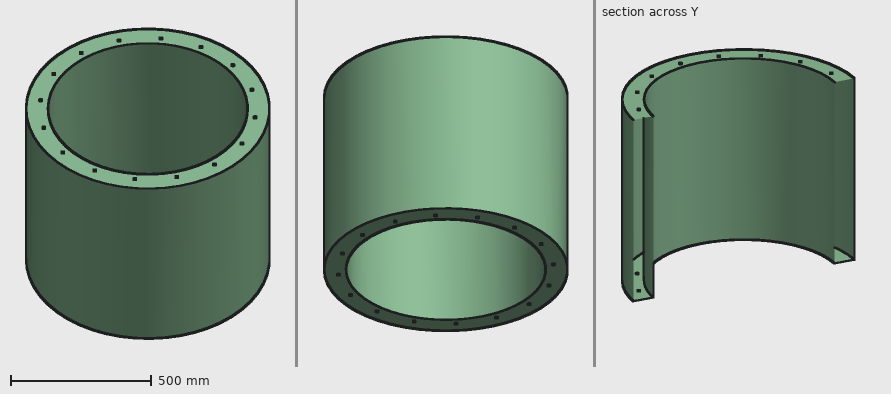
import cadquery as cq

outer_diameter = 870
inner_diameter = 710
height = 710
sheet_thickness = 2

hole_count = 16
hole_diameter = 10
bolt_circle_diameter = 770
hole_pitch_angle = 360 / hole_count
first_hole_angle = hole_pitch_angle / 2


def make_tube(outside, inside, base, length):
    """Plain tube along Z from its diameters, base height and length."""
    return (
        cq.Workplane("XY")
        .workplane(offset=base)
        .circle(outside / 2)
        .circle(inside / 2)
        .extrude(length)
    )


def make_cavity():
    """Enclosed annular space, one sheet thickness inside every outer surface."""
    return make_tube(
        outer_diameter - 2 * sheet_thickness,
        inner_diameter + 2 * sheet_thickness,
        sheet_thickness,
        height - 2 * sheet_thickness,
    )


def make_hole_cutters():
    """Evenly spaced cylinders that pierce both end plates."""
    return (
        cq.Workplane("XY")
        .polarArray(bolt_circle_diameter / 2, first_hole_angle, 360, hole_count)
        .circle(hole_diameter / 2)
        .extrude(height)
    )


ring = make_tube(outer_diameter, inner_diameter, 0, height)
result = ring.cut(make_cavity()).cut(make_hole_cutters())